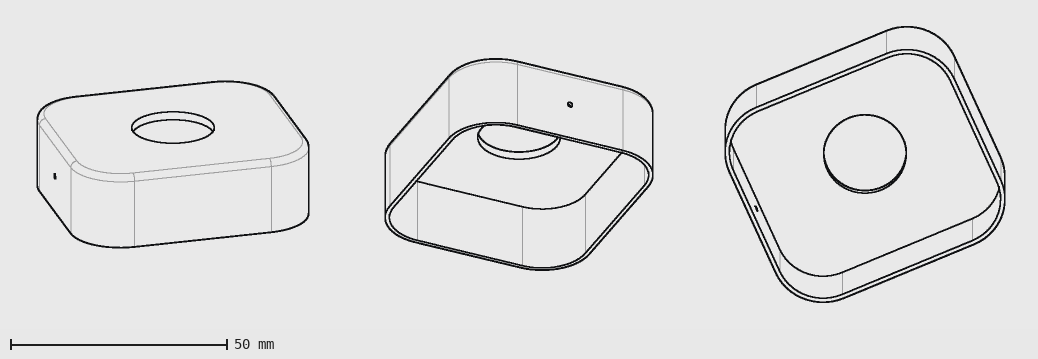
import cadquery as cq

length_x = 50.8
length_y = 56.8
height = 18.0
corner_radius = 12.0
top_edge_radius = 1.5

wall = 1.0
top_thickness = 2.0

top_hole_diameter = 19.1
side_hole_diameter = 1.2
side_hole_height = height / 2


def rounded_block(size_x, size_y, size_z, radius):
    """Block standing on Z = 0 with rounded vertical corners."""
    block = cq.Workplane("XY").rect(size_x, size_y).extrude(size_z)
    return block.edges("|Z").fillet(radius)


body = rounded_block(length_x, length_y, height, corner_radius)
body = body.faces(">Z").edges().fillet(top_edge_radius)

cavity = rounded_block(
    length_x - 2 * wall,
    length_y - 2 * wall,
    height - top_thickness,
    corner_radius - wall,
)

top_hole = cq.Workplane("XY").circle(top_hole_diameter / 2).extrude(height)

side_hole = (
    cq.Workplane("XZ", origin=(0, -length_y / 2 + wall, side_hole_height))
    .circle(side_hole_diameter / 2)
    .extrude(wall)
)

result = body.cut(cavity).cut(top_hole).cut(side_hole)